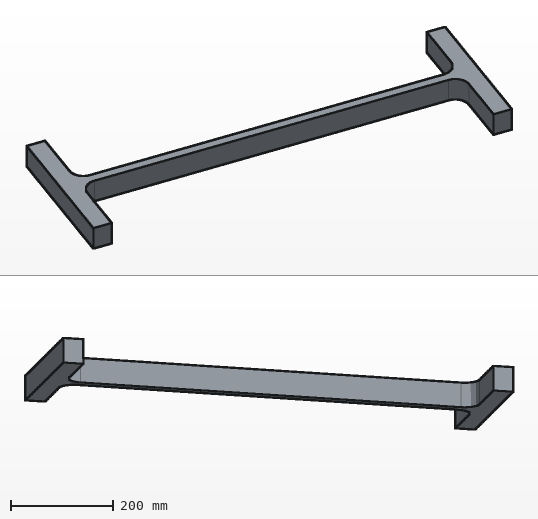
import cadquery as cq

section_depth = 910.0
flange_width = 302.0
flange_thickness = 40.0
web_thickness = 21.0
root_radius = 30.0
slice_length = 50.0


def block(width, depth, center_y=0.0):
    """Rectangular block of the slice length, standing on Z = 0."""
    return (
        cq.Workplane("XY")
        .center(0, center_y)
        .rect(width, depth)
        .extrude(slice_length)
    )


web_depth = section_depth - 2 * flange_thickness
flange_center = (section_depth - flange_thickness) / 2

beam = block(web_thickness, web_depth)
for side in (-1, 1):
    beam = beam.union(block(flange_width, flange_thickness, side * flange_center))

root_zone = cq.selectors.BoxSelector(
    (-web_thickness, -section_depth / 2, 0),
    (web_thickness, section_depth / 2, slice_length),
)
result = beam.edges("|Z").edges(root_zone).fillet(root_radius)